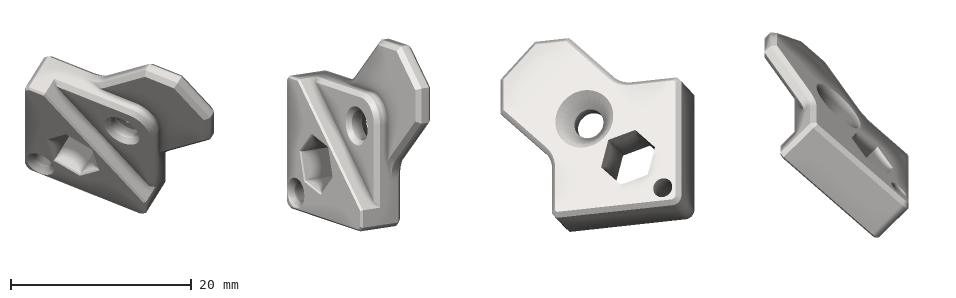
import cadquery as cq
import math

overall = 21.0
depth = 5.5
body_side = 15.0

tab_thickness = 2.0
ledge_y = 2.0
tab_y = depth - tab_thickness

edge_chamfer = 0.5
front_chamfer = 0.2
ledge_corner_radius = 3.0
foot_corner_radius = 1.0
tab_blend_radius = 3.0

step_sum = 17.5

tab_offset = 8.0
tab_end_flat = 4.0

bolt_position = 11.1
bolt_diameter = 3.35
bolt_sink_diameter = 4.37
bolt_head_diameter = 6.72
pin_position = 2.0
pin_diameter = 2.2
pin_sink_diameter = 3.4
hex_position = 6.03
hex_across_flats = 5.6
hex_chamfer = 0.15
hex_angle = 45.0


def prism(points, y_start, y_end):
    """Extrude an X-Z outline between two Y levels."""
    plane = cq.Workplane("XZ", origin=(0, y_start, 0))
    return plane.polyline(points).close().extrude(y_start - y_end)


def vertical_edge(solid, x, z):
    """Select the edge parallel to Y that passes through (x, z)."""
    margin = 0.02
    box = cq.selectors.BoxSelector(
        (x - margin, -depth, z - margin), (x + margin, 2 * depth, z + margin)
    )
    return solid.edges("|Y").edges(box)


def square_block(y_start, y_end):
    """Square body outline with two rounded and two cut corners."""
    side = body_side
    block = prism([(0, 0), (side, 0), (side, side), (0, side)], y_start, y_end)
    block = vertical_edge(block, side, side).fillet(ledge_corner_radius)
    block = vertical_edge(block, 0, 0).fillet(foot_corner_radius)
    block = vertical_edge(block, side, 0).chamfer(edge_chamfer)
    return vertical_edge(block, 0, side).chamfer(edge_chamfer)


def back_plate():
    """Back layer: the square joined to the tab, chamfered on both faces."""
    tab_start = overall - tab_offset
    tab_cut = tab_start + tab_end_flat
    root = body_side / 2 - tab_offset / 2
    tab = prism(
        [
            (root, root + tab_offset),
            (tab_start, overall),
            (tab_cut, overall),
            (overall, tab_cut),
            (overall, tab_start),
            (root + tab_offset, root),
        ],
        tab_y,
        depth,
    )
    plate = square_block(tab_y, depth).union(tab)
    corner = body_side - tab_offset
    plate = vertical_edge(plate, corner, body_side).fillet(tab_blend_radius)
    plate = vertical_edge(plate, body_side, corner).fillet(tab_blend_radius)
    return plate.faces("<Y or >Y").edges().chamfer(edge_chamfer)


def ledge():
    """Recessed layer that fills the whole square behind the step."""
    block = square_block(ledge_y, depth - edge_chamfer)
    return block.faces("<Y").edges().chamfer(edge_chamfer)


def raised_triangle():
    """Full-depth part of the square below the diagonal step."""
    step_end = step_sum - body_side
    below_step = prism(
        [(0, 0), (body_side, 0), (body_side, step_end), (step_end, body_side), (0, body_side)],
        0,
        depth,
    )
    block = square_block(0, depth - edge_chamfer).intersect(below_step)
    return block.faces("<Y").edges().chamfer(front_chamfer)


def countersunk_hole(position, diameter, sink_diameter, face_y):
    """Through hole with a 45 degree countersink in the face at face_y."""
    face = cq.Workplane("XZ", origin=(position, face_y, position))
    hole = face.circle(diameter / 2).extrude(-depth)
    sink_depth = (sink_diameter - diameter) / 2
    sink = face.circle(sink_diameter / 2).extrude(-sink_depth, taper=45)
    return hole.union(sink)


def bolt_head_seat():
    """45 degree conical seat for the bolt head in the back face."""
    face = cq.Workplane("XZ", origin=(bolt_position, depth, bolt_position))
    seat_depth = (bolt_head_diameter - bolt_diameter) / 2
    return face.circle(bolt_head_diameter / 2).extrude(seat_depth, taper=45)


def hex_hole():
    """Hexagonal through hole with a chamfered front rim."""
    face = cq.Workplane("XZ", origin=(hex_position, 0, hex_position))
    corner_diameter = hex_across_flats / math.cos(math.pi / 6)
    rim_diameter = (hex_across_flats + 2 * hex_chamfer) / math.cos(math.pi / 6)
    hole = face.polygon(6, corner_diameter).extrude(-depth)
    rim = face.polygon(6, rim_diameter).extrude(-hex_chamfer, taper=45)
    center = (hex_position, 0, hex_position)
    axis_end = (hex_position, -1, hex_position)
    return hole.union(rim).rotate(center, axis_end, hex_angle)


result = (
    back_plate()
    .union(ledge())
    .union(raised_triangle())
    .cut(countersunk_hole(bolt_position, bolt_diameter, bolt_sink_diameter, ledge_y))
    .cut(bolt_head_seat())
    .cut(countersunk_hole(pin_position, pin_diameter, pin_sink_diameter, 0))
    .cut(hex_hole())
)